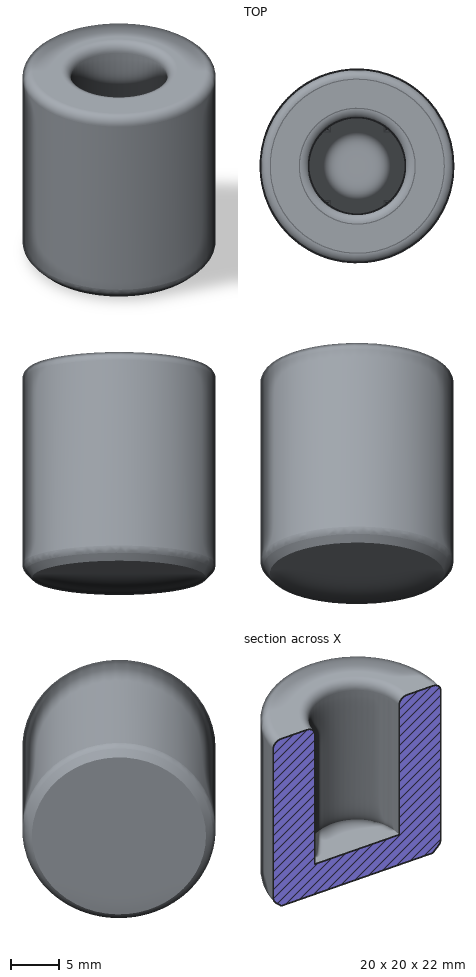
import cadquery as cq

height = 22
outer_diameter = 20.0
bore_diameter = 10.0
edge_size = 1.0
floor_height = 4.0

cross_half_x = 2.77
cross_half_y = 3.55


def make_barrel():
    """Cylinder with a rounded top rim and a softened chamfer at the base."""
    barrel = cq.Workplane("XY").circle(outer_diameter / 2).extrude(height)
    barrel = barrel.faces(">Z").edges().fillet(edge_size)
    barrel = barrel.faces("<Z").edges().chamfer(edge_size)
    return barrel.faces("%CONE").edges("%CIRCLE").edges(">Z").fillet(edge_size)


def cut_bore(body):
    """Blind bore with a rounded mouth, deep enough to hold the cross floor."""
    bore_bottom = floor_height - edge_size
    bore = (
        cq.Workplane("XY")
        .workplane(offset=bore_bottom)
        .circle(bore_diameter / 2)
        .extrude(height - bore_bottom)
    )
    body = body.cut(bore)
    mouth = body.faces(">Z").edges(cq.selectors.RadiusNthSelector(0))
    return body.newObject(mouth.vals()).fillet(edge_size)


def make_cross_floor():
    """Cross-shaped floor whose edges roll off into the four corners."""
    reach = bore_diameter
    base = floor_height - 2 * edge_size
    thickness = 2 * edge_size
    arm_x = 2 * (cross_half_x + edge_size)
    arm_y = 2 * (cross_half_y + edge_size)
    plane = cq.Workplane("XY").workplane(offset=base)
    cross = plane.rect(arm_x, 2 * reach).extrude(thickness)
    cross = cross.union(plane.rect(2 * reach, arm_y).extrude(thickness))
    cross = cross.faces(">Z").edges().fillet(edge_size)
    return cross.intersect(plane.circle(bore_diameter / 2).extrude(thickness))


result = cut_bore(make_barrel()).union(make_cross_floor())